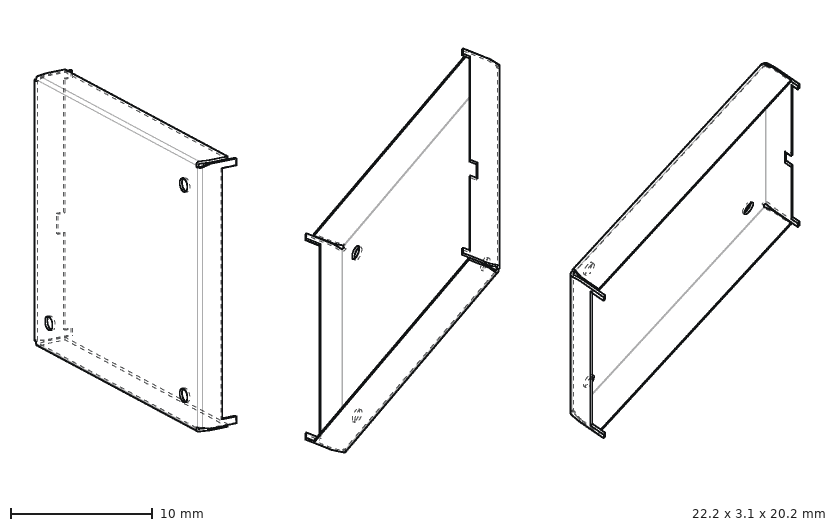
import cadquery as cq
import math

length = 22.2
width = 20.2
total_height = 3.1
wall_height = 2.5
sheet = 0.2
bend_radius = 0.25
inner_radius = bend_radius - sheet

corner_gap = 0.01
wall_setback = sheet + corner_gap
relief_setback = 0.38
relief_height = 0.93

tab_width = 0.5
notch_width = 1.5
notch_depth = 0.58
notch_z = -1.35

hole_diameter = 1.0
hole_x = 9.01
hole_z = 7.85
hole_centers = [(hole_x, hole_z), (hole_x, -hole_z), (-hole_x, -hole_z)]

half_length = length / 2
half_width = width / 2


def make_base():
    """Flat plate between the bend lines, with a square relief at each corner."""
    flat_x = length - 2 * bend_radius
    flat_z = width - 2 * bend_radius
    relief_x = length - 2 * relief_setback
    relief_z = width - 2 * relief_setback
    wide = cq.Workplane("XY").box(flat_x, sheet, relief_z, centered=(True, False, True))
    tall = cq.Workplane("XY").box(relief_x, sheet, flat_z, centered=(True, False, True))
    return wide.union(tall)


def make_wall(outer_distance, half_span, rim_height, tab=0.0):
    """Bend and wall on the +X side, spanning Z, with optional tabs at its ends."""
    bend_start = outer_distance - bend_radius
    inner_face = outer_distance - sheet
    diagonal = math.sqrt(0.5)
    folded = (
        cq.Workplane("XY")
        .moveTo(bend_start, 0)
        .threePointArc(
            (bend_start + bend_radius * diagonal, bend_radius * (1 - diagonal)),
            (outer_distance, bend_radius),
        )
        .lineTo(outer_distance, total_height)
        .lineTo(inner_face, total_height)
        .lineTo(inner_face, bend_radius)
        .threePointArc(
            (bend_start + inner_radius * diagonal, bend_radius - inner_radius * diagonal),
            (bend_start, sheet),
        )
        .close()
        .extrude(half_span, both=True)
    )

    wall_end = half_span - wall_setback
    relief_end = half_span - relief_setback
    half_outline = [(0, relief_end), (bend_radius, relief_end), (relief_height, wall_end)]
    if tab:
        half_outline += [
            (total_height, wall_end),
            (total_height, wall_end - tab),
            (rim_height, wall_end - tab),
        ]
    else:
        half_outline.append((rim_height, wall_end))
    mirrored = [(y, -z) for y, z in reversed(half_outline)]
    face = (
        cq.Workplane("YZ")
        .polyline(half_outline + mirrored)
        .close()
        .extrude(outer_distance)
    )
    return folded.intersect(face)


low_rim_height = wall_height - notch_depth
right_wall = make_wall(half_length, half_width, low_rim_height, tab_width)
left_wall = make_wall(half_length, half_width, wall_height, tab_width).mirror("YZ")
end_wall = make_wall(half_width, half_length, wall_height).rotate((0, 0, 0), (0, 1, 0), 90)

result = (
    make_base()
    .union(right_wall)
    .union(left_wall)
    .union(end_wall)
    .union(end_wall.mirror("XY"))
)

notch = (
    cq.Workplane("XY")
    .box(2 * sheet, notch_depth, notch_width)
    .translate((-half_length, wall_height - notch_depth / 2, notch_z))
)
result = result.cut(notch)

for x, z in hole_centers:
    hole = (
        cq.Workplane("XZ")
        .center(x, z)
        .circle(hole_diameter / 2)
        .extrude(-sheet)
    )
    result = result.cut(hole)